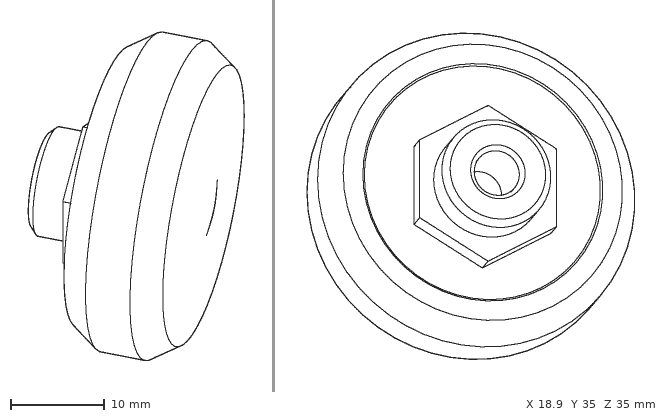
import cadquery as cq
import math

wheel_diameter = 35.0
wheel_width = 11.05
rim_bevel_length = 3.05
rim_bevel_height = 2.1

recess_mouth_diameter = 26.45
recess_floor_diameter = 26.05
recess_depth = 0.2

eccentricity = 0.8
hex_across_flats = 15.1
hex_height = 2.45
hub_diameter = 12.0
hub_length = 4.55
hub_chamfer = 0.75

hole_diameter = 4.97
hole_depth = 8.75
hole_chamfer = 0.52
drill_point_angle = 120.0

dome_diameter = 10.5
dome_height = 0.8

wheel_right = wheel_width / 2
wheel_left = -wheel_right
hex_end = wheel_left - hex_height
hub_end = hex_end - hub_length
recess_floor = wheel_left + recess_depth


def revolve_profile(profile):
    """Turn a closed (x, radius) profile about the X axis."""
    return profile.close().revolve(360, (0, 0, 0), (1, 0, 0))


def make_wheel():
    radius = wheel_diameter / 2
    face_radius = radius - rim_bevel_height
    dome_start = dome_diameter / 2
    dome_radius = (dome_start**2 + dome_height**2) / (2 * dome_height)
    half_angle = math.asin(dome_start / dome_radius) / 2
    dome_tip = wheel_right + dome_height
    dome_middle = (
        dome_tip - dome_radius * (1 - math.cos(half_angle)),
        dome_radius * math.sin(half_angle),
    )
    return revolve_profile(
        cq.Workplane("XY")
        .moveTo(recess_floor, 0)
        .lineTo(recess_floor, recess_floor_diameter / 2)
        .lineTo(wheel_left, recess_mouth_diameter / 2)
        .lineTo(wheel_left, face_radius)
        .lineTo(wheel_left + rim_bevel_length, radius)
        .lineTo(wheel_right - rim_bevel_length, radius)
        .lineTo(wheel_right, face_radius)
        .lineTo(wheel_right, dome_start)
        .threePointArc(dome_middle, (dome_tip, 0))
    )


def make_hexagon():
    """Hexagon rising from the recess floor, with two corners pointing along Z."""
    across_corners = hex_across_flats / math.cos(math.radians(30))
    return (
        cq.Workplane("YZ", origin=(hex_end, 0, 0))
        .transformed(rotate=(0, 0, 90))
        .polygon(6, across_corners)
        .extrude(recess_floor - hex_end)
    )


def make_hub():
    return (
        cq.Workplane("YZ", origin=(hub_end, 0, 0))
        .circle(hub_diameter / 2)
        .extrude(hub_length)
        .faces("<X")
        .chamfer(hub_chamfer)
    )


def make_hole():
    radius = hole_diameter / 2
    bottom = hub_end + hole_depth
    point_length = radius / math.tan(math.radians(drill_point_angle / 2))
    return revolve_profile(
        cq.Workplane("XY")
        .moveTo(hub_end, 0)
        .lineTo(hub_end, radius + hole_chamfer)
        .lineTo(hub_end + hole_chamfer, radius)
        .lineTo(bottom, radius)
        .lineTo(bottom + point_length, 0)
    )


eccentric_shift = (0, 0, -eccentricity)
stub = make_hexagon().union(make_hub()).translate(eccentric_shift)
hole = make_hole().translate(eccentric_shift)
result = make_wheel().union(stub).cut(hole)